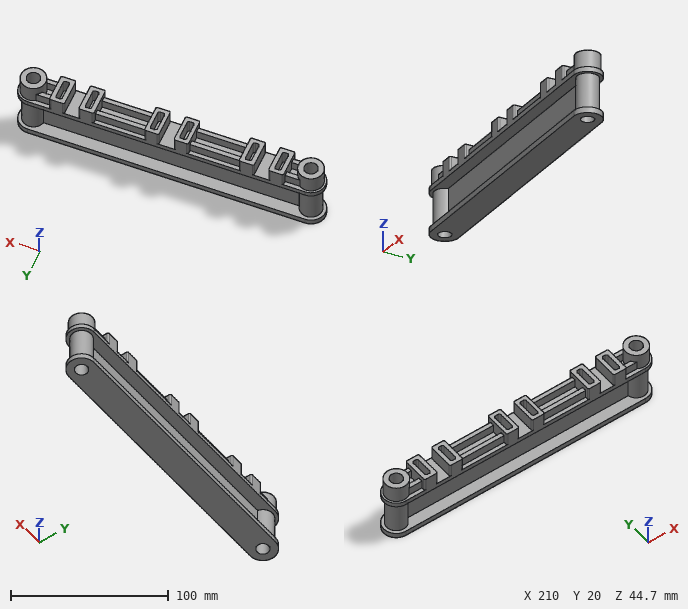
import cadquery as cq

LENGTH = 210.0
WIDTH = 20.0
HEIGHT = 44.7

BASE_TOP = 4.0
FLANGE_BOTTOM = 29.0
FLANGE_TOP = 32.3
RAIL_TOP = 38.6
TOWER_TOP = 42.2

POST_X = (LENGTH - WIDTH) / 2
BOSS_DIAMETER = 17.0
COLUMN_DIAMETER = 15.1
BOLT_DIAMETER = 9.0

WEB_THICKNESS = 3.0

RAIL_OUTER_Y = 7.1
RAIL_INNER_Y = 4.0
RAIL_WIDTH = RAIL_OUTER_Y - RAIL_INNER_Y
RAIL_Y = (RAIL_OUTER_Y + RAIL_INNER_Y) / 2

PAIR_SPACING = 64.9
TOWER_PITCH = 20.2
OUTER_TOWER_LENGTH = 10.3
CENTER_TOWER_LENGTH = 9.9
TOWER_CORNER_RADIUS = 1.0
SLOT_LENGTH_Y = 14.3
OUTER_SLOT_WIDTH = 4.2
CENTER_SLOT_WIDTH = 4.6
SLOT_CORNER_RADIUS = 1.3

CENTER_TOWER_X = TOWER_PITCH / 2
INNER_TOWER_X = PAIR_SPACING - TOWER_PITCH / 2
END_TOWER_X = PAIR_SPACING + TOWER_PITCH / 2


def plate(bottom, top):
    """Round-ended plate covering the full length and width."""
    return (
        cq.Workplane("XY", origin=(0, 0, bottom))
        .slot2D(LENGTH, WIDTH)
        .extrude(top - bottom)
    )


def post_cylinders(diameter, bottom, top):
    """Matching cylinders on the two bolt axes."""
    return (
        cq.Workplane("XY", origin=(0, 0, bottom))
        .pushPoints([(-POST_X, 0), (POST_X, 0)])
        .circle(diameter / 2)
        .extrude(top - bottom)
    )


def web():
    """Thin upright wall joining the columns and the two plates."""
    return (
        cq.Workplane("XY", origin=(0, 0, BASE_TOP))
        .rect(2 * POST_X, WEB_THICKNESS)
        .extrude(FLANGE_BOTTOM - BASE_TOP)
    )


def rails(x_start, x_end):
    """Two parallel rails, one on each side of the centre line."""
    x_middle = (x_start + x_end) / 2
    return (
        cq.Workplane("XY", origin=(0, 0, FLANGE_TOP))
        .pushPoints([(x_middle, -RAIL_Y), (x_middle, RAIL_Y)])
        .rect(abs(x_end - x_start), RAIL_WIDTH)
        .extrude(RAIL_TOP - FLANGE_TOP)
    )


def rounded_block(x, x_size, y_size, corner_radius):
    """Upright block on the upper flange, as tall as a tower, with rounded vertical edges."""
    return (
        cq.Workplane("XY", origin=(x, 0, FLANGE_TOP))
        .rect(x_size, y_size)
        .extrude(TOWER_TOP - FLANGE_TOP)
        .edges("|Z")
        .fillet(corner_radius)
    )


def add_tower(body, x, tower_length, slot_width):
    """Add a full-width tower and open its slot down to the upper flange."""
    tower = rounded_block(x, tower_length, WIDTH, TOWER_CORNER_RADIUS)
    slot = rounded_block(x, slot_width, SLOT_LENGTH_Y, SLOT_CORNER_RADIUS)
    return body.union(tower).cut(slot)


result = plate(0, BASE_TOP).union(plate(FLANGE_BOTTOM, FLANGE_TOP)).union(web())
result = result.union(post_cylinders(COLUMN_DIAMETER, BASE_TOP, FLANGE_BOTTOM))
result = result.union(post_cylinders(BOSS_DIAMETER, FLANGE_TOP, HEIGHT))

for side in (-1, 1):
    result = result.union(rails(side * CENTER_TOWER_X, side * INNER_TOWER_X))
    result = result.union(rails(side * END_TOWER_X, side * POST_X))
    result = add_tower(result, side * CENTER_TOWER_X, CENTER_TOWER_LENGTH, CENTER_SLOT_WIDTH)
    for tower_x in (INNER_TOWER_X, END_TOWER_X):
        result = add_tower(result, side * tower_x, OUTER_TOWER_LENGTH, OUTER_SLOT_WIDTH)

result = result.cut(post_cylinders(BOLT_DIAMETER, 0, HEIGHT))